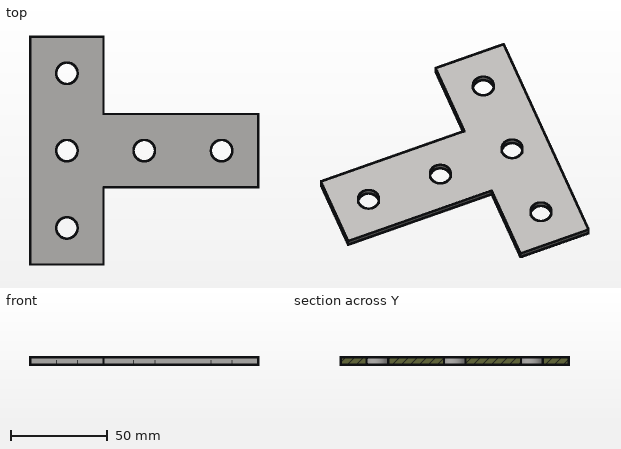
import cadquery as cq

length = 118.0
thickness = 4.0
hole_pitch = 40.0
hole_diameter = 11.0
arm_width = length - 2 * hole_pitch

crossbar = cq.Workplane("XY").box(arm_width, length, thickness)
stem = (
    cq.Workplane("XY")
    .box(length, arm_width, thickness)
    .translate(((length - arm_width) / 2, 0, 0))
)
plate = crossbar.union(stem)

crossbar_holes = [(0, step * hole_pitch) for step in (-1, 0, 1)]
stem_holes = [(step * hole_pitch, 0) for step in (1, 2)]

result = (
    plate.faces(">Z")
    .workplane(origin=(0, 0, 0))
    .pushPoints(crossbar_holes + stem_holes)
    .hole(hole_diameter)
)